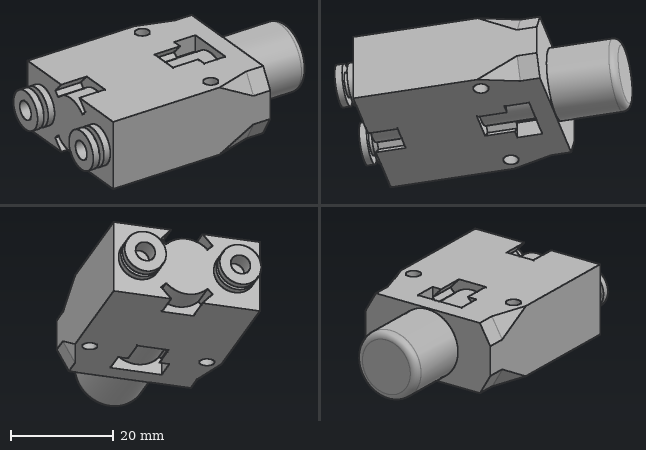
import cadquery as cq
import math

BODY_WIDTH = 30.0
BODY_LENGTH = 37.0
BODY_HEIGHT = 15.0
HALF_WIDTH = BODY_WIDTH / 2
HALF_HEIGHT = BODY_HEIGHT / 2

PLUNGER_DIAMETER = 14.5
PLUNGER_LENGTH = 14.0
PLUNGER_ROUNDING = 1.5

PORT_OFFSET = 9.75
PORT_DIAMETER = 8.5
PORT_NECK_DIAMETER = 5.0
PORT_BORE_DIAMETER = 4.0
PORT_FLANGE = 1.5
PORT_NECK = 1.0
PORT_LENGTH = 2 * PORT_FLANGE + PORT_NECK

MOUNT_OFFSET = 12.0
MOUNT_Y = 25.0
MOUNT_DIAMETER = 3.0

CHAMFER_WIDTH = 2.5
CHAMFER_ANGLE = 60.0
CHAMFER_HEIGHT = CHAMFER_WIDTH * math.tan(math.radians(CHAMFER_ANGLE))
CHAMFER_LENGTH = 4.0
TAPER_LENGTH = 8.0
TAPER_START_Y = BODY_LENGTH - CHAMFER_LENGTH

CORE_RADIUS = 6.0
SLOT_HALF_OPENING = 3.2
SLOT_HALF_WIDTH = 5.25
SLOT_END_ANGLE = 45.0
FRONT_SLOT_DEPTH = 6.0
REAR_SLOT_START = 22.0

WINDOW_START = 28.0
WINDOW_END = 33.0
WINDOW_HALF_WIDTH = SLOT_HALF_WIDTH
WINDOW_FLOOR_Z = 3.9


def cylinder_along_y(x, start_y, diameter, length):
    """Cylinder with its axis along +Y, centred at height zero."""
    return cq.Workplane(cq.Solid.makeCylinder(
        diameter / 2, length, cq.Vector(x, start_y, 0), cq.Vector(0, 1, 0)))


def with_mirror_below(tool):
    """The tool together with its mirror image in the plane Z = 0."""
    return tool.union(tool.mirror("XY"))


def body():
    return cq.Workplane("XY").box(BODY_WIDTH, BODY_LENGTH, BODY_HEIGHT, centered=(True, False, True))


def plunger():
    rod = cylinder_along_y(0, BODY_LENGTH, PLUNGER_DIAMETER, PLUNGER_LENGTH)
    return rod.faces(">Y").edges().fillet(PLUNGER_ROUNDING)


def port(x):
    neck = cylinder_along_y(x, -PORT_LENGTH, PORT_NECK_DIAMETER, PORT_LENGTH)
    outer_flange = cylinder_along_y(x, -PORT_LENGTH, PORT_DIAMETER, PORT_FLANGE)
    inner_flange = cylinder_along_y(x, -PORT_FLANGE, PORT_DIAMETER, PORT_FLANGE)
    bore = cylinder_along_y(x, -PORT_LENGTH, PORT_BORE_DIAMETER, PORT_LENGTH)
    return neck.union(outer_flange).union(inner_flange).cut(bore)


def corner_cutter():
    """Wedge for the back +X +Z corner: a triangular prism with a pyramid in front."""
    corner = (HALF_WIDTH, HALF_HEIGHT)
    on_top = (HALF_WIDTH - CHAMFER_WIDTH, HALF_HEIGHT)
    on_side = (HALF_WIDTH, HALF_HEIGHT - CHAMFER_HEIGHT)
    section = [corner, on_top, on_side]
    prism = (
        cq.Workplane("XZ", origin=(0, TAPER_START_Y, 0))
        .polyline(section).close().extrude(-CHAMFER_LENGTH)
    )

    tip = cq.Vector(HALF_WIDTH, TAPER_START_Y - TAPER_LENGTH, HALF_HEIGHT)
    base = [cq.Vector(x, TAPER_START_Y, z) for x, z in section]
    triangles = [base]
    for i in range(len(base)):
        triangles.append([base[i - 1], base[i], tip])
    faces = [cq.Face.makeFromWires(cq.Wire.makePolygon(points, close=True)) for points in triangles]
    pyramid = cq.Solid.makeSolid(cq.Shell.makeShell(faces))
    return prism.union(cq.Workplane(pyramid))


def undercut_slot(start_y, end_y):
    """Slot in the top face that widens downwards to hug the round core."""
    end_angle = math.radians(SLOT_END_ANGLE)
    outer_z = SLOT_HALF_WIDTH / math.tan(end_angle)
    inner_x = CORE_RADIUS * math.sin(end_angle)
    inner_z = CORE_RADIUS * math.cos(end_angle)
    return (
        cq.Workplane("XZ", origin=(0, start_y, 0))
        .moveTo(-SLOT_HALF_OPENING, HALF_HEIGHT)
        .lineTo(-SLOT_HALF_WIDTH, outer_z)
        .lineTo(-inner_x, inner_z)
        .threePointArc((0, CORE_RADIUS), (inner_x, inner_z))
        .lineTo(SLOT_HALF_WIDTH, outer_z)
        .lineTo(SLOT_HALF_OPENING, HALF_HEIGHT)
        .close()
        .extrude(start_y - end_y)
    )


def window():
    """Straight-walled opening in the top face that leaves the round core standing."""
    core_edge = math.sqrt(CORE_RADIUS**2 - WINDOW_FLOOR_Z**2)
    return (
        cq.Workplane("XZ", origin=(0, WINDOW_START, 0))
        .moveTo(-WINDOW_HALF_WIDTH, HALF_HEIGHT)
        .lineTo(-WINDOW_HALF_WIDTH, WINDOW_FLOOR_Z)
        .lineTo(-core_edge, WINDOW_FLOOR_Z)
        .threePointArc((0, CORE_RADIUS), (core_edge, WINDOW_FLOOR_Z))
        .lineTo(WINDOW_HALF_WIDTH, WINDOW_FLOOR_Z)
        .lineTo(WINDOW_HALF_WIDTH, HALF_HEIGHT)
        .close()
        .extrude(WINDOW_START - WINDOW_END)
    )


def mounting_hole(x):
    return (
        cq.Workplane("XY", origin=(x, MOUNT_Y, -HALF_HEIGHT))
        .circle(MOUNT_DIAMETER / 2)
        .extrude(BODY_HEIGHT)
    )


result = body()

back_corner = corner_cutter()
for corner_tool in (back_corner, back_corner.mirror("YZ")):
    result = result.cut(with_mirror_below(corner_tool))

front_slot = undercut_slot(0, FRONT_SLOT_DEPTH)
rear_slot = undercut_slot(REAR_SLOT_START, WINDOW_START).union(window())
for slot in (front_slot, rear_slot):
    result = result.cut(with_mirror_below(slot))

for side in (-1, 1):
    result = result.cut(mounting_hole(side * MOUNT_OFFSET))
    result = result.union(port(side * PORT_OFFSET))

result = result.union(plunger())